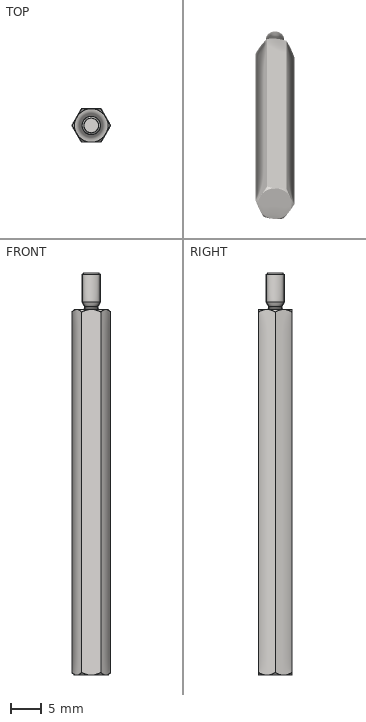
import cadquery as cq
import math

ACROSS_FLATS = 5.5
BODY_LENGTH = 60.0
END_FACE_DIAMETER = ACROSS_FLATS
END_CHAMFER_ANGLE = 45.0

STUD_DIAMETER = 3.0
STUD_LENGTH = 6.0
STUD_TIP_DIAMETER = 2.4

NECK_DIAMETER = 2.2
NECK_LENGTH = 0.5
NECK_ROOT_FILLET = 0.2
ROOT_OVERLAP = 0.5
NECK_TAPER_ANGLE = 30.0


def hexagonal_bar():
    across_corners = ACROSS_FLATS / math.cos(math.radians(30))
    return cq.Workplane("XY").polygon(6, across_corners).extrude(BODY_LENGTH)


def chamfer_envelope():
    """Cylinder with conical ends that trims only the corners of the hexagon."""
    outer_radius = ACROSS_FLATS
    end_radius = END_FACE_DIAMETER / 2
    cone_height = (outer_radius - end_radius) * math.tan(math.radians(END_CHAMFER_ANGLE))
    return (
        cq.Workplane("XZ")
        .moveTo(0, 0)
        .lineTo(end_radius, 0)
        .lineTo(outer_radius, cone_height)
        .lineTo(outer_radius, BODY_LENGTH - cone_height)
        .lineTo(end_radius, BODY_LENGTH)
        .lineTo(0, BODY_LENGTH)
        .close()
        .revolve(360, (0, 0, 0), (0, 1, 0))
    )


def stud():
    """Turned stud with an undercut neck and a 45 degree chamfer at the tip."""
    radius = STUD_DIAMETER / 2
    neck_radius = NECK_DIAMETER / 2
    root_radius = neck_radius + NECK_ROOT_FILLET
    tip_radius = STUD_TIP_DIAMETER / 2
    tip_chamfer = radius - tip_radius
    taper_height = (radius - neck_radius) / math.tan(math.radians(NECK_TAPER_ANGLE))
    tip_z = BODY_LENGTH + STUD_LENGTH
    neck_top_z = BODY_LENGTH + NECK_LENGTH
    root_z = BODY_LENGTH - ROOT_OVERLAP
    return (
        cq.Workplane("XZ")
        .moveTo(0, root_z)
        .lineTo(root_radius, root_z)
        .lineTo(root_radius, BODY_LENGTH)
        .radiusArc((neck_radius, BODY_LENGTH + NECK_ROOT_FILLET), NECK_ROOT_FILLET)
        .lineTo(neck_radius, neck_top_z)
        .lineTo(radius, neck_top_z + taper_height)
        .lineTo(radius, tip_z - tip_chamfer)
        .lineTo(tip_radius, tip_z)
        .lineTo(0, tip_z)
        .close()
        .revolve(360, (0, 0, 0), (0, 1, 0))
    )


body = hexagonal_bar().intersect(chamfer_envelope())
result = body.union(stud())